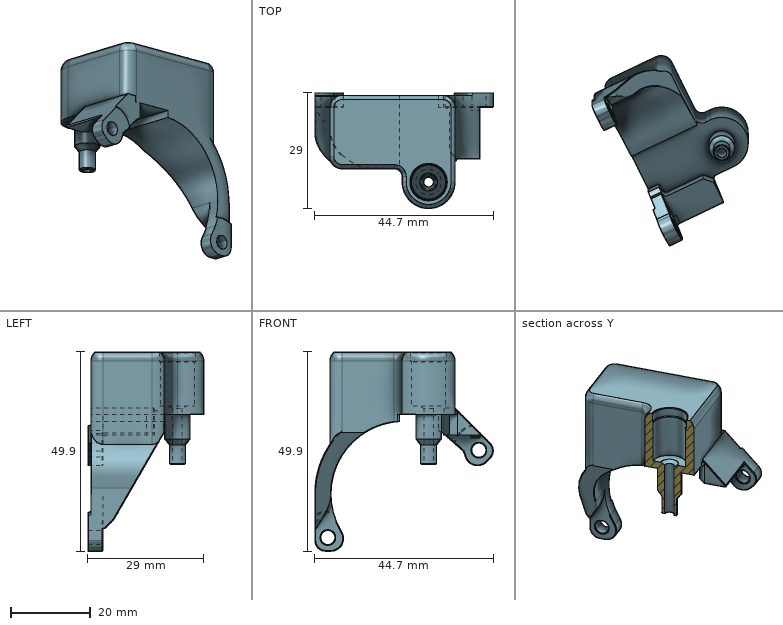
import cadquery as cq
import math

top_z = 49.85
rear_gap = 0.65

body_left = 3.75
body_right = 35.1
body_front = -19.0
body_rear = -rear_gap
body_bottom = 26.75
corner_radius = 3.0
boss_radius = 6.65
boss_x = body_right - boss_radius
boss_y = -22.35
boss_bottom = 34.3
boss_blend_radius = 2.0
top_round_start = 47.65
top_round_radius = 2.95

bore_mouth_diameter = 9.0
bore_diameter = 8.55
bore_chamfer = 0.2
bore_step_z = 47.6
bore_floor_z = 36.4
pin_hole_diameter = 2.4
pin_sink_diameter = 4.5
pin_sink_depth = 0.65
pin_diameter = 6.4
pin_shoulder_chamfer = 0.1
pin_shoulder_z = 28.05
pin_tip_diameter = 4.1
pin_tip_top_z = 26.7
pin_bottom_z = 21.8
pin_tip_chamfer = 0.25

clear_x = 22.2
clear_z = 14.35
clear_radius = 18.15
blade_thickness = 4.1
blade_radius = clear_radius + blade_thickness
blade_flat_top_z = clear_z + math.sqrt(blade_radius**2 - clear_x**2)
blade_end_x = 11.95
blade_foot_z = 5.75
blade_slope_angle = 60.0
blade_slope_top_z = 29.8
blade_toe = (-6.4, 7.9)
edge_chamfer = 0.2
clear_edge_round = 0.15

tab_depth = 3.65
screw_diameter = 3.55
screw_chamfer = 0.2
screw_u = 3.25
screw_v = 3.45
ear_corner = 2.7
ear_round = 3.2
ear_round_u = 4.0
ear_round_end = 31.0
overall_width = 44.7
right_ear_z = 25.2
right_ear_x = overall_width + ear_corner * (math.sqrt(2) - 1)
right_web_bend = (37.15, 25.1)
pad_radius = 6.3
pad_taper = 0.3
right_slope_sum = right_ear_x + right_ear_z

wedge_front = -16.6
wedge_right = 41.35
wedge_bottom = 29.15
lip_size = 0.6
gusset_size = 0.8
gusset_left = 39.1

notch_left = 21.25
notch_front_left = 20.65
notch_right = 30.9
pocket_right = 33.65
pocket_round = 1.3
pocket_flare = 2.0

far = 99.75
touch = 0.005


def circle_point(center_x, center_z, radius, x=None, angle=None):
    """Point of a circle, at an angle in degrees or on its upper half at a given X."""
    if angle is None:
        return (x, center_z + math.sqrt(radius**2 - (x - center_x)**2))
    a = math.radians(angle)
    return (center_x + radius * math.cos(a), center_z + radius * math.sin(a))


def clear_point(**where):
    return circle_point(clear_x, clear_z, clear_radius, **where)


def on_cylinder(edge, radius):
    """Whether an edge lies at this radius about the clearance axis."""
    ends_and_middle = (edge.positionAt(t) for t in (0, 0.5, 1))
    gaps = (math.hypot(p.x - clear_x, p.z - clear_z) - radius for p in ends_and_middle)
    return all(abs(gap) < touch for gap in gaps)


def on_outer_curve(edge):
    return on_cylinder(edge, blade_radius) or edge.Center().x < touch


def slab(front, rear):
    """Workplane in X and Z at the rear depth, with the distance to extrude to the front."""
    return cq.Workplane("XZ", origin=(0, rear, 0)), rear - front


def box(x0, x1, y0, y1, z0, z1):
    return cq.Workplane("XY").box(x1 - x0, y1 - y0, z1 - z0, centered=False).translate((x0, y0, z0))


def y_cylinder(center, radius, front, rear):
    plane, depth = slab(front, rear)
    return plane.center(*center).circle(radius).extrude(depth)


def boss_cylinder(diameter, bottom, top):
    plane = cq.Workplane("XY", origin=(boss_x, boss_y, bottom))
    return plane.circle(diameter / 2).extrude(top - bottom)


def boss_cone(bottom_diameter, top_diameter, bottom, top):
    plane = cq.Workplane("XY", origin=(boss_x, boss_y, bottom)).circle(bottom_diameter / 2)
    return plane.workplane(offset=top - bottom).circle(top_diameter / 2).loft()


def make_body():
    boss_left = boss_x - boss_radius
    height = top_round_start + top_round_radius - body_bottom
    body = (
        cq.Workplane("XY", origin=(0, 0, body_bottom))
        .moveTo(body_left, body_rear)
        .lineTo(body_right, body_rear)
        .lineTo(body_right, boss_y)
        .threePointArc((boss_x, boss_y - boss_radius), (boss_left, boss_y))
        .lineTo(boss_left, body_front)
        .lineTo(body_left, body_front)
        .close()
        .extrude(height)
    )
    for x, y, radius in (
        (body_left, body_rear, corner_radius),
        (body_right, body_rear, corner_radius),
        (body_left, body_front, corner_radius),
        (boss_left, body_front, boss_blend_radius),
    ):
        corner = cq.selectors.NearestToPointSelector((x, y, body_bottom + height / 2))
        body = body.edges("|Z").edges(corner).fillet(radius)
    body = body.faces(">Z").edges().fillet(top_round_radius)
    return body.intersect(box(-far, far, -far, far, 0, top_z))


def make_blade():
    plane, depth = slab(body_front, body_rear)
    outer_circle = (clear_x, clear_z, blade_radius)
    blade = (
        plane.moveTo(0, blade_foot_z)
        .lineTo(0, blade_flat_top_z)
        .threePointArc(
            circle_point(*outer_circle, angle=150),
            circle_point(*outer_circle, x=blade_end_x),
        )
        .lineTo(blade_end_x, clear_z)
        .lineTo(*clear_point(angle=180))
        .threePointArc((3.5, 11.4), (1.9, 8.5))
        .lineTo(0.4, blade_foot_z)
        .close()
        .extrude(depth)
    )
    blade = cut_front_slope(blade)
    outer_edges = blade.edges("not |Y").filter(on_outer_curve)
    return outer_edges.chamfer(edge_chamfer)


def cut_front_slope(solid):
    run = (top_z - blade_toe[1]) / math.tan(math.radians(blade_slope_angle))
    toe_drop = blade_toe[1] - blade_foot_z
    removed = (
        cq.Workplane("YZ")
        .polyline([
            (blade_toe[0] - run, top_z),
            blade_toe,
            (blade_toe[0] + toe_drop, blade_foot_z),
            (-far, blade_foot_z),
            (-far, top_z),
        ])
        .close()
        .extrude(notch_left)
    )
    below = box(0, notch_left, -far, 0, 0, blade_slope_top_z)
    return solid.cut(removed.intersect(below))


def left_ear_place(u, v):
    return (u, v)


def right_ear_place(u, v):
    return (right_ear_x - (u + v) / math.sqrt(2), right_ear_z + (v - u) / math.sqrt(2))


def ear_outline(plane, place, side_length):
    """Start an outline down the straight side and around the end of an ear."""
    c = ear_corner
    round_circle = (ear_round_u, ear_round, ear_round)
    return (
        plane.moveTo(*place(0, side_length))
        .lineTo(*place(0, c))
        .threePointArc(place(*circle_point(c, c, c, angle=225)), place(c, 0))
        .lineTo(*place(ear_round_u, 0))
        .threePointArc(
            place(*circle_point(*round_circle, angle=-30)),
            place(*circle_point(*round_circle, angle=ear_round_end)),
        )
    )


def finish_tab(outline, depth, screw):
    """Chamfer the front, then set the rear back except for a tapered seat round the screw."""
    tab = outline.close().extrude(depth).faces("<Y").chamfer(edge_chamfer)
    return trim_to_pad(tab, screw)


def make_left_tab():
    plane, depth = slab(-tab_depth, 0)
    outline = (
        ear_outline(plane, left_ear_place, clear_z)
        .lineTo(*left_web_end)
        .lineTo(left_web_end[0], clear_z)
    )
    return finish_tab(outline, depth, left_screw)


def make_right_tab():
    plane, depth = slab(-tab_depth, 0)
    side_length = (boss_bottom - right_ear_z) * math.sqrt(2)
    outline = (
        ear_outline(plane, right_ear_place, side_length)
        .lineTo(*right_web_bend)
        .lineTo(*right_web_end)
        .lineTo(notch_right, right_web_end[1])
        .lineTo(notch_right, boss_bottom)
    )
    return finish_tab(outline, depth, right_screw)


def trim_to_pad(tab, screw):
    plane, depth = slab(-rear_gap, 0)
    seat = (
        plane.center(*screw)
        .circle(pad_radius)
        .workplane(offset=depth)
        .circle(pad_radius + pad_taper)
        .loft()
    )
    return tab.cut(box(-far, far, -rear_gap, 0, -far, far).cut(seat))


def make_wedge():
    plane, depth = slab(wedge_front, body_rear)
    left = pocket_right - pocket_round
    wedge = (
        plane.polyline([
            (left, wedge_bottom),
            (wedge_right, wedge_bottom),
            (wedge_right, right_slope_sum - wedge_right),
            (body_right, right_slope_sum - body_right),
            (left, right_slope_sum - body_right),
        ])
        .close()
        .extrude(depth)
    )
    middle_x = (body_right + wedge_right) / 2
    front_edge = cq.selectors.NearestToPointSelector((middle_x, wedge_front, right_slope_sum - middle_x))
    return wedge.edges(front_edge).chamfer(edge_chamfer)


def make_lip():
    """Bevel that fills the corner between the wedge front and the side of the boss."""
    return (
        cq.Workplane("XY", origin=(0, 0, boss_bottom))
        .polyline([
            (body_right, wedge_front),
            (body_right + lip_size, wedge_front),
            (body_right, wedge_front - lip_size),
        ])
        .close()
        .extrude(right_slope_sum - body_right - lip_size - boss_bottom)
    )


def make_gusset():
    """Bevel in the corner between the wedge bottom and the right tab."""
    return (
        cq.Workplane("YZ", origin=(gusset_left, 0, 0))
        .polyline([
            (-tab_depth, wedge_bottom),
            (-tab_depth - gusset_size, wedge_bottom),
            (-tab_depth, wedge_bottom - gusset_size),
        ])
        .close()
        .extrude(wedge_right - gusset_left)
    )


def make_recess():
    """Everything removed below the boss: a slot to the rear and a pocket beside it."""
    slot = box(notch_left, notch_right, -far, 0, 0, boss_bottom)
    front = box(notch_front_left, far, -far, body_front, 0, boss_bottom)
    flare_y = wedge_front + pocket_flare
    pocket = (
        cq.Workplane("XY")
        .polyline([
            (notch_left, -tab_depth),
            (pocket_right, -tab_depth),
            (pocket_right, flare_y),
            (pocket_right + pocket_flare, wedge_front),
            (pocket_right + pocket_flare, body_front),
            (notch_left, body_front),
        ])
        .close()
        .extrude(boss_bottom)
    )
    inner = cq.selectors.NearestToPointSelector((pocket_right, -tab_depth, boss_bottom / 2))
    pocket = pocket.edges("|Z").edges(inner).fillet(pocket_round)
    under_wedge = box(notch_right, far, -far, 0, 0, wedge_bottom)
    return slot.union(front).union(pocket).union(under_wedge)


def make_pin():
    tip = boss_cylinder(pin_tip_diameter, pin_bottom_z, pin_tip_top_z).faces("<Z").chamfer(pin_tip_chamfer)
    shoulder = boss_cylinder(pin_diameter, pin_shoulder_z, bore_floor_z)
    shoulder = shoulder.faces("<Z").chamfer(pin_shoulder_chamfer)
    cone_top = pin_diameter - 2 * pin_shoulder_chamfer
    cone = boss_cone(pin_tip_diameter, cone_top, pin_tip_top_z, pin_shoulder_z)
    return tip.union(cone).union(shoulder)


def make_bore():
    step = (bore_mouth_diameter - bore_diameter) / 2
    bore = boss_cylinder(bore_diameter, bore_floor_z, top_z)
    for cutter in (
        boss_cylinder(bore_mouth_diameter, bore_step_z, top_z),
        boss_cone(bore_diameter, bore_mouth_diameter, bore_step_z - step, bore_step_z),
        boss_cone(bore_mouth_diameter, bore_mouth_diameter + 2 * bore_chamfer, top_z - bore_chamfer, top_z),
        boss_cone(pin_hole_diameter, pin_sink_diameter, bore_floor_z - pin_sink_depth, bore_floor_z),
        boss_cylinder(pin_hole_diameter, 0, bore_floor_z),
    ):
        bore = bore.union(cutter)
    return bore


def make_screw_hole(screw):
    hole = y_cylinder(screw, screw_diameter / 2, -tab_depth, 0)
    plane, depth = slab(-tab_depth, screw_chamfer - tab_depth)
    mouth = (
        plane.center(*screw)
        .circle(screw_diameter / 2)
        .workplane(offset=depth)
        .circle(screw_diameter / 2 + screw_chamfer)
        .loft()
    )
    return hole.union(mouth)


def cut_clearance(solid):
    """Cut the round clearance and round the two long front edges it leaves."""
    cutter = y_cylinder((clear_x, clear_z), clear_radius, -far, far)
    kept_zone = box(-far, right_web_end[0], -far, far, left_web_end[1], far)
    solid = solid.cut(cutter.intersect(kept_zone))
    low_corner = (0, body_front - touch, clear_z)
    high_corner = (notch_front_left, -tab_depth - touch, boss_bottom)
    edges = solid.edges(cq.selectors.BoxSelector(low_corner, high_corner))
    curved_edges = edges.filter(lambda e: e.geomType() in ("CIRCLE", "ELLIPSE"))
    long_edges = curved_edges.filter(lambda e: on_cylinder(e, clear_radius))
    return long_edges.fillet(clear_edge_round)


left_web_end = clear_point(angle=203)
right_web_end = clear_point(x=32.15)
left_screw = left_ear_place(screw_u, screw_v)
right_screw = right_ear_place(screw_u, screw_v)

result = cut_front_slope(make_body()).union(make_blade())
result = result.union(make_wedge()).cut(make_recess()).union(make_gusset()).union(make_lip())
result = result.union(make_left_tab()).union(make_right_tab())
result = cut_clearance(result)
result = result.union(make_pin()).cut(make_bore())
for screw_center in (left_screw, right_screw):
    result = result.cut(make_screw_hole(screw_center))